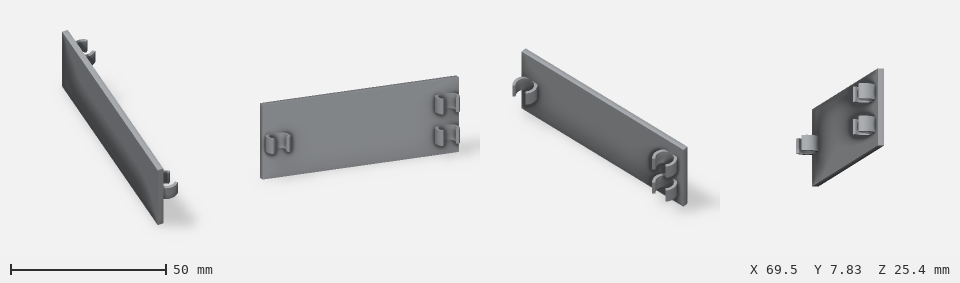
import cadquery as cq
import math

plate_length = 69.5
plate_thickness = 2.0
plate_height = 25.4

bore_radius = 3.0
outer_radius = 4.0
clip_height = 5.0
clip_gap = 0.35
left_clip_x = 5.4
clip_spacing = 60.0
mouth_half_angle = 45.0

clip_axis_y = plate_thickness + bore_radius
clip_pitch = clip_height + clip_gap
right_clip_x = left_clip_x + clip_spacing
middle_z = plate_height / 2


def make_clip(axis_x, center_z):
    """C-ring along Z, open toward +Y, with its base sunk into the plate."""
    tip_x = math.sin(math.radians(mouth_half_angle))
    tip_y = math.cos(math.radians(mouth_half_angle))
    return (
        cq.Workplane("XY", origin=(axis_x, clip_axis_y, center_z - clip_height / 2))
        .moveTo(outer_radius * tip_x, outer_radius * tip_y)
        .threePointArc((0, -outer_radius), (-outer_radius * tip_x, outer_radius * tip_y))
        .lineTo(-bore_radius * tip_x, bore_radius * tip_y)
        .threePointArc((0, -bore_radius), (bore_radius * tip_x, bore_radius * tip_y))
        .close()
        .extrude(clip_height)
    )


result = cq.Workplane("XY").box(plate_length, plate_thickness, plate_height, centered=False)

for side in (-1, 1):
    result = result.union(make_clip(left_clip_x, middle_z + side * clip_pitch))
result = result.union(make_clip(right_clip_x, middle_z))